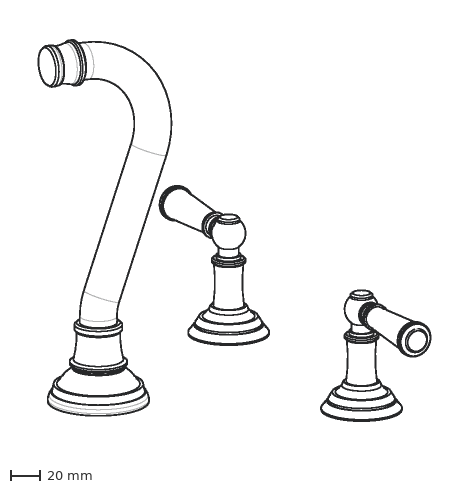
import cadquery as cq
import math

overall_width = 367.5
handle_spacing = 200.0
handle_setback = 152.2

post_foot_radius = 28.0
post_foot_height = 1.0
post_skirt_radius = 24.0
post_skirt_top = 6.3
post_band_radius = 23.0
post_band_top = 7.7
post_shoulder_radius = 20.2
post_shoulder_top = 12.5
post_cone_radius = 18.0
post_bead_radius = 13.5
post_bead_bottom = 17.3
post_bead_mid_radius = 13.2
post_bead_mid_height = 18.8
post_bead_top = 20.2
post_bead_top_radius = 12.0
post_column_base_radius = 10.5
post_waist_radius = 9.5
post_waist_height = 38.0
post_column_top_radius = 10.3
post_column_top = 50.7
post_collar_radius = 11.8
post_collar_top = 54.5
post_collar_edge = 1.0
post_step_radius = 8.5
post_step_top = 56.5
post_neck_radius = 7.0

ball_height = 72.0
ball_radius = 11.8
cap_radius = 7.7
cap_base = 79.5
cap_top = 84.0
cap_edge = 1.5

lever_neck_radius = 6.0
lever_bead_start = 11.8
lever_bead_end = 14.0
lever_bead_radius = 8.0
lever_ferrule_radius = 7.5
lever_ring_start = 20.0
lever_ring_end = 22.0
lever_ring_radius = 9.2
grip_root_radius = 7.7
grip_end_radius = 11.0
pommel_start = 77.0
pommel_end = 81.3
pommel_radius = 12.0
pommel_edge = 0.7
lever_tip_radius = 8.5
lever_tip_edge = 1.0
lever_length = (overall_width - handle_spacing) / 2

base_foot_radius = 35.0
base_foot_height = 2.0
base_lower_step_radius = 34.2
base_lower_step_height = 4.5
base_skirt_radius = 32.7
base_skirt_top = 7.0
base_rim_bottom_radius = 32.0
base_rim_radius = 31.0
base_rim_top = 12.5
base_cone_radius = 28.5
base_cone_mid_radius = 24.3
base_cone_mid_height = 18.5
base_cone_top_radius = 18.0
base_cone_top = 24.0
base_neck_radius = 16.5
base_ring_bottom = 25.7
base_ring_top = 30.0
base_ring_radius = 20.0
base_ring_edge = 1.5
base_column_radius = 17.3
base_column_top_radius = 15.0
base_waist_radius = 15.5
base_waist_height = 40.5
base_collar_bottom = 50.5
base_collar_top = 56.5
base_collar_radius = 16.5
base_collar_edge = 1.5

tube_radius = 13.0
tube_bend_start = 61.5
tube_lean = 20
tube_lower_bend = 40.5
tube_straight_length = 107.0
tube_upper_bend = 52.5
spout_reach = 39.7

nozzle_length = 23.0
nozzle_back_radius = 14.0
nozzle_ring_radius = 15.8
nozzle_ring_back = 21.7
nozzle_ring_front = 19.5
nozzle_collar_radius = 14.7
nozzle_collar_back = 18.5
nozzle_flare_radius = 14.5
nozzle_flare_back = 15.8
nozzle_waist_radius = 13.2
nozzle_waist = 9.5
nozzle_lip_back = 6.3
nozzle_lip_back_radius = 14.0
nozzle_lip_crest_back = 4.0
nozzle_lip_crest_front = 2.0
nozzle_lip_radius = 14.5
nozzle_face_radius = 13.2


def turn_about_z(profile):
    """Close an (r, z) outline drawn on the XZ plane and turn it about Z."""
    return profile.close().revolve(360, (0, 0, 0), (0, 1, 0))


def make_post():
    return turn_about_z(
        cq.Workplane("XZ")
        .lineTo(post_foot_radius, 0)
        .lineTo(post_foot_radius, post_foot_height)
        .lineTo(post_skirt_radius, post_skirt_top)
        .lineTo(post_band_radius, post_skirt_top)
        .lineTo(post_band_radius, post_band_top)
        .lineTo(post_shoulder_radius, post_shoulder_top)
        .lineTo(post_cone_radius, post_shoulder_top)
        .lineTo(post_bead_radius, post_bead_bottom)
        .threePointArc((post_bead_mid_radius, post_bead_mid_height), (post_bead_top_radius, post_bead_top))
        .lineTo(post_column_base_radius, post_bead_top)
        .threePointArc((post_waist_radius, post_waist_height), (post_column_top_radius, post_column_top))
        .lineTo(post_collar_radius - post_collar_edge, post_column_top)
        .lineTo(post_collar_radius, post_column_top + post_collar_edge)
        .lineTo(post_collar_radius, post_collar_top - post_collar_edge)
        .lineTo(post_collar_radius - post_collar_edge, post_collar_top)
        .lineTo(post_step_radius, post_collar_top)
        .lineTo(post_step_radius, post_step_top)
        .lineTo(post_neck_radius, post_step_top)
        .lineTo(post_neck_radius, ball_height)
        .lineTo(0, ball_height)
    )


def make_ball():
    ball = cq.Workplane("XY").sphere(ball_radius).translate((0, 0, ball_height))
    cap = cq.Workplane("XY").workplane(offset=cap_base).circle(cap_radius).extrude(cap_top - cap_base)
    return ball.union(cap.faces(">Z").edges().chamfer(cap_edge))


def make_lever():
    """Lever pointing along +X from the ball centre."""
    lever = turn_about_z(
        cq.Workplane("XZ")
        .lineTo(lever_neck_radius, 0)
        .lineTo(lever_neck_radius, lever_bead_start)
        .lineTo(lever_bead_radius, lever_bead_start)
        .lineTo(lever_bead_radius, lever_bead_end)
        .lineTo(lever_ferrule_radius, lever_bead_end)
        .lineTo(lever_ferrule_radius, lever_ring_start)
        .lineTo(lever_ring_radius, lever_ring_start)
        .lineTo(lever_ring_radius, lever_ring_end)
        .lineTo(grip_root_radius, lever_ring_end)
        .lineTo(grip_end_radius, pommel_start)
        .lineTo(pommel_radius - pommel_edge, pommel_start)
        .lineTo(pommel_radius, pommel_start + pommel_edge)
        .lineTo(pommel_radius, pommel_end - pommel_edge)
        .lineTo(pommel_radius - pommel_edge, pommel_end)
        .lineTo(lever_tip_radius, lever_length - lever_tip_edge)
        .lineTo(lever_tip_radius - lever_tip_edge, lever_length)
        .lineTo(0, lever_length)
    )
    return lever.rotate((0, 0, 0), (0, 1, 0), 90).translate((0, 0, ball_height))


def make_handle(side):
    """One complete handle; side is -1 for the left and +1 for the right."""
    lever = make_lever()
    if side < 0:
        lever = lever.rotate((0, 0, 0), (0, 0, 1), 180)
    handle = make_post().union(make_ball()).union(lever)
    return handle.translate((side * handle_spacing / 2, handle_setback, 0))


def make_spout_base():
    return turn_about_z(
        cq.Workplane("XZ")
        .lineTo(base_foot_radius, 0)
        .lineTo(base_foot_radius, base_foot_height)
        .lineTo(base_lower_step_radius, base_lower_step_height)
        .lineTo(base_skirt_radius, base_skirt_top)
        .lineTo(base_rim_bottom_radius, base_skirt_top)
        .lineTo(base_rim_radius, base_rim_top)
        .lineTo(base_cone_radius, base_rim_top)
        .threePointArc((base_cone_mid_radius, base_cone_mid_height), (base_cone_top_radius, base_cone_top))
        .lineTo(base_neck_radius, base_cone_top)
        .lineTo(base_neck_radius, base_ring_bottom)
        .lineTo(base_ring_radius - base_ring_edge, base_ring_bottom)
        .lineTo(base_ring_radius, base_ring_bottom + base_ring_edge)
        .lineTo(base_ring_radius, base_ring_top - base_ring_edge)
        .lineTo(base_column_radius, base_ring_top)
        .threePointArc((base_waist_radius, base_waist_height), (base_column_top_radius, base_collar_bottom))
        .lineTo(base_collar_radius, base_collar_bottom + base_collar_edge)
        .lineTo(base_collar_radius, base_collar_top - base_collar_edge)
        .lineTo(base_collar_radius - base_collar_edge, base_collar_top)
        .lineTo(0, base_collar_top)
    )


lean = math.radians(tube_lean)
lower_bend_end = (
    tube_lower_bend * (1 - math.cos(lean)),
    tube_bend_start + tube_lower_bend * math.sin(lean),
)
straight_end = (
    lower_bend_end[0] + tube_straight_length * math.sin(lean),
    lower_bend_end[1] + tube_straight_length * math.cos(lean),
)
upper_bend_end = (
    straight_end[0] - tube_upper_bend * math.cos(lean),
    straight_end[1] + tube_upper_bend * (1 + math.sin(lean)),
)
outlet_height = upper_bend_end[1]


def make_tube():
    """Gooseneck in the YZ plane: up, leaning back, then over to the front."""
    path = (
        cq.Workplane("YZ")
        .moveTo(0, base_collar_bottom)
        .lineTo(0, tube_bend_start)
        .tangentArcPoint(lower_bend_end, relative=False)
        .lineTo(*straight_end)
        .tangentArcPoint(upper_bend_end, relative=False)
        .lineTo(nozzle_waist - spout_reach, outlet_height)
    )
    return cq.Workplane("XY").workplane(offset=base_collar_bottom).circle(tube_radius).sweep(path)


def make_nozzle():
    nozzle = turn_about_z(
        cq.Workplane("XZ")
        .lineTo(nozzle_face_radius, 0)
        .lineTo(nozzle_lip_radius, nozzle_lip_crest_front)
        .lineTo(nozzle_lip_radius, nozzle_lip_crest_back)
        .lineTo(nozzle_lip_back_radius, nozzle_lip_back)
        .lineTo(nozzle_waist_radius, nozzle_lip_back)
        .threePointArc((nozzle_waist_radius, nozzle_waist), (nozzle_flare_radius, nozzle_flare_back))
        .lineTo(nozzle_collar_radius, nozzle_collar_back)
        .lineTo(nozzle_ring_radius, nozzle_ring_front)
        .lineTo(nozzle_ring_radius, nozzle_ring_back)
        .lineTo(nozzle_back_radius, nozzle_length)
        .lineTo(0, nozzle_length)
    )
    return nozzle.rotate((0, 0, 0), (1, 0, 0), -90).translate((0, -spout_reach, outlet_height))


spout = make_spout_base().union(make_tube()).union(make_nozzle())
handles = [make_handle(side) for side in (-1, 1)]

result = cq.Compound.makeCompound([spout.val(), *[handle.val() for handle in handles]])